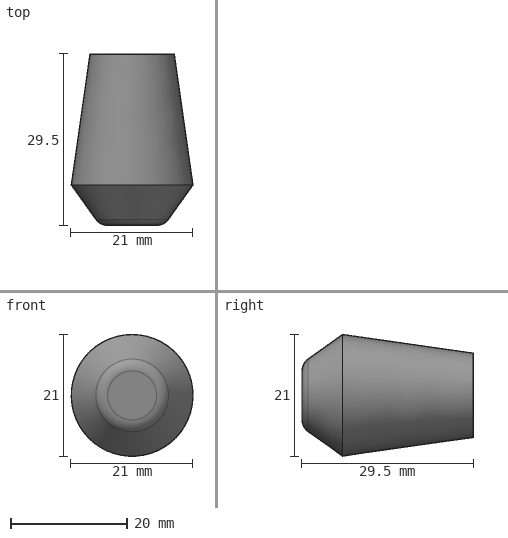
import cadquery as cq

length = 29.5
max_radius = 10.5
back_radius = 7.3
tip_radius = 5.52
nose_length = 7.0
tip_fillet = 2.5

tip_y = -length / 2
back_y = length / 2
shoulder_y = tip_y + nose_length

knob = (
    cq.Workplane("YZ")
    .moveTo(tip_y, 0)
    .lineTo(tip_y, tip_radius)
    .lineTo(shoulder_y, max_radius)
    .lineTo(back_y, back_radius)
    .lineTo(back_y, 0)
    .close()
    .revolve(360, (0, 0, 0), (1, 0, 0))
)

result = knob.faces("<Y").edges().fillet(tip_fillet)